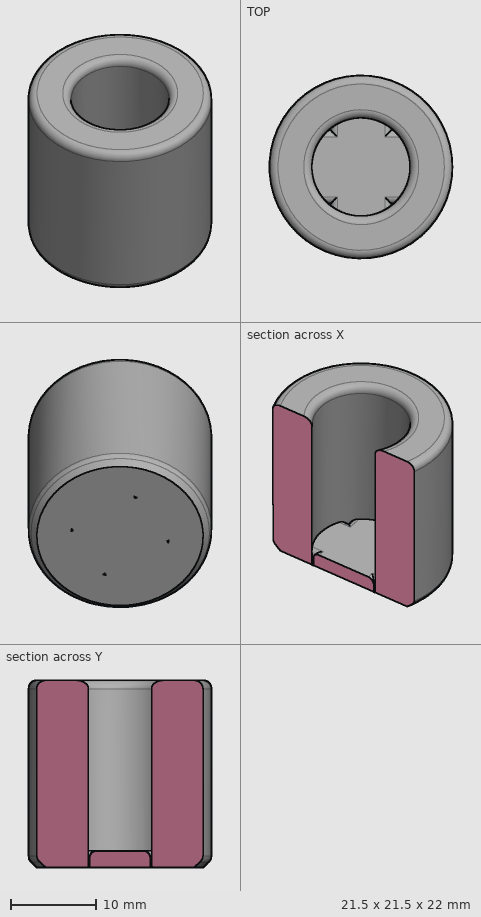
import cadquery as cq

outer_diameter = 21.5
height = 22.0
bore_diameter = 11.5
edge_radius = 1.0
bottom_chamfer = 1.0
floor_thickness = 1.98
bar_edge_radius = 0.8
wide_bar_flat = 7.05
narrow_bar_flat = 5.55


def make_sleeve():
    """Round sleeve with rounded rims and a chamfered, blended lower edge."""
    body = cq.Workplane("XY").circle(outer_diameter / 2).extrude(height)
    body = body.faces("<Z").chamfer(bottom_chamfer)
    chamfer_top = cq.selectors.BoxSelector(
        (-outer_diameter, -outer_diameter, bottom_chamfer / 2),
        (outer_diameter, outer_diameter, height / 2),
        boundingbox=True,
    )
    body = body.edges(chamfer_top).edges("%CIRCLE").fillet(edge_radius)
    body = body.cut(cq.Workplane("XY").circle(bore_diameter / 2).extrude(height))
    return body.faces(">Z").edges().fillet(edge_radius)


def make_floor_bar(length_x, length_y, long_axis):
    """Flat bar at the bottom of the bore, rounded along its upper long edges."""
    bar = cq.Workplane("XY").rect(length_x, length_y).extrude(floor_thickness)
    return bar.faces(">Z").edges("|" + long_axis).fillet(bar_edge_radius)


def make_cross_floor():
    """Two crossing bars trimmed to the bore, leaving four corner openings."""
    wide_bar = make_floor_bar(outer_diameter, wide_bar_flat + 2 * bar_edge_radius, "X")
    narrow_bar = make_floor_bar(narrow_bar_flat + 2 * bar_edge_radius, outer_diameter, "Y")
    bore_disc = cq.Workplane("XY").circle(bore_diameter / 2).extrude(floor_thickness)
    return wide_bar.union(narrow_bar).intersect(bore_disc)


result = make_sleeve().union(make_cross_floor())